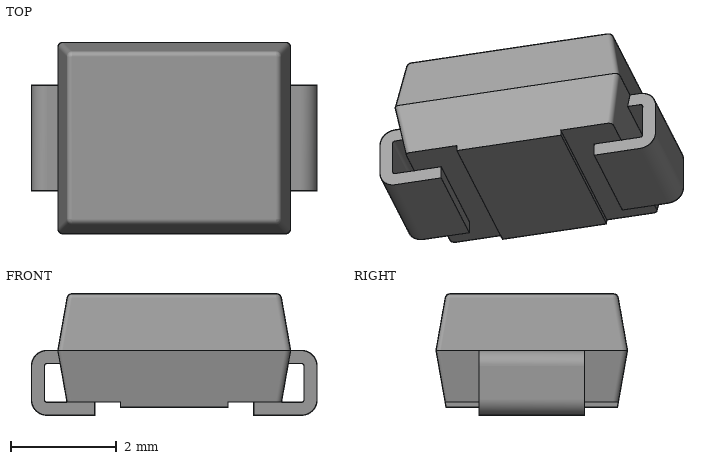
import cadquery as cq

overall_length = 5.4
body_length = 4.4
body_width = 3.62
overall_height = 2.3

lead_width = 2.0
lead_thickness = 0.25
lead_height = 1.23
foot_length = 1.2
lead_outer_radius = 0.3
lead_inner_radius = 0.05
lead_embed = 0.3

parting_z = lead_height
body_bottom_z = lead_thickness
draft_angle = 10.0
body_edge_radius = 0.1

pad_length = 2.04
pad_bottom_z = 0.15


def tapered_half(height):
    """Half body growing from the parting plane; a negative height grows downwards."""
    return (
        cq.Workplane("XY")
        .workplane(offset=parting_z)
        .rect(body_length, body_width)
        .extrude(height, taper=draft_angle)
    )


def foot_recess(side):
    """Step under one end of the body that leaves room for the foot of a lead."""
    recess_length = (body_length - pad_length) / 2
    recess_centre_x = side * (pad_length + recess_length) / 2
    return (
        cq.Workplane("XY")
        .workplane(offset=pad_bottom_z)
        .center(recess_centre_x, 0)
        .rect(recess_length, body_width)
        .extrude(body_bottom_z - pad_bottom_z)
    )


def make_body():
    upper = tapered_half(overall_height - parting_z)
    upper = upper.edges("not(#Z)").fillet(body_edge_radius)
    upper = upper.faces(">Z").edges().fillet(body_edge_radius)
    lower = tapered_half(pad_bottom_z - parting_z)
    lower = lower.edges("not(#Z)").fillet(body_edge_radius)
    for side in (-1, 1):
        lower = lower.cut(foot_recess(side))
    return upper.union(lower)


def make_left_lead():
    """C-shaped strip: upper leg into the body, vertical leg, foot folded underneath."""
    outer_x = -overall_length / 2
    inner_x = outer_x + lead_thickness
    upper_leg_end_x = -body_length / 2 + lead_embed
    foot_end_x = outer_x + foot_length
    strip = (
        cq.Workplane("XZ")
        .moveTo(outer_x, 0)
        .lineTo(foot_end_x, 0)
        .lineTo(foot_end_x, lead_thickness)
        .lineTo(inner_x, lead_thickness)
        .lineTo(inner_x, lead_height - lead_thickness)
        .lineTo(upper_leg_end_x, lead_height - lead_thickness)
        .lineTo(upper_leg_end_x, lead_height)
        .lineTo(outer_x, lead_height)
        .close()
        .extrude(lead_width / 2, both=True)
    )
    strip = strip.faces("<X").edges("|Y").fillet(lead_outer_radius)
    inner_bends = cq.selectors.BoxSelector(
        (inner_x - lead_inner_radius, -lead_width, 0),
        (inner_x + lead_inner_radius, lead_width, lead_height),
    )
    return strip.edges("|Y").edges(inner_bends).fillet(lead_inner_radius)


left_lead = make_left_lead()
right_lead = left_lead.mirror("YZ")

result = make_body().union(left_lead).union(right_lead)